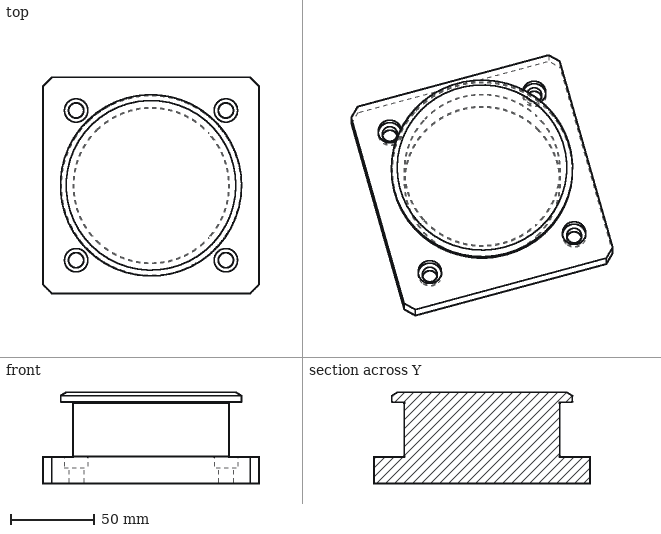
import cadquery as cq

plate_side = 130
plate_height = 16.0
corner_chamfer = 5.5

total_height = 55.0
post_diameter = 94.0
cap_diameter = 109.0
cap_top_diameter = 101.9
cap_bottom_z = 48.8
cap_bevel_height = 2.2
edge_break = 0.5

hole_spacing = 90.0
hole_diameter = 9.0
counterbore_diameter = 14.0
counterbore_depth = 6.5


def make_plate():
    plate = cq.Workplane("XY").rect(plate_side, plate_side).extrude(plate_height)
    plate = plate.edges("|Z").chamfer(corner_chamfer)
    return (
        plate.faces(">Z").workplane()
        .rect(hole_spacing, hole_spacing, forConstruction=True)
        .vertices()
        .cboreHole(hole_diameter, counterbore_diameter, counterbore_depth)
    )


def make_post_and_cap():
    post_radius = post_diameter / 2
    cap_radius = cap_diameter / 2
    profile = [
        (0, plate_height),
        (post_radius - edge_break, plate_height),
        (post_radius, plate_height + edge_break),
        (post_radius, cap_bottom_z - edge_break),
        (post_radius - edge_break, cap_bottom_z),
        (cap_radius - edge_break, cap_bottom_z),
        (cap_radius, cap_bottom_z + edge_break),
        (cap_radius, total_height - cap_bevel_height),
        (cap_top_diameter / 2, total_height),
        (0, total_height),
    ]
    return cq.Workplane("XZ").polyline(profile).close().revolve(360, (0, 0), (0, 1))


result = make_plate().union(make_post_and_cap())